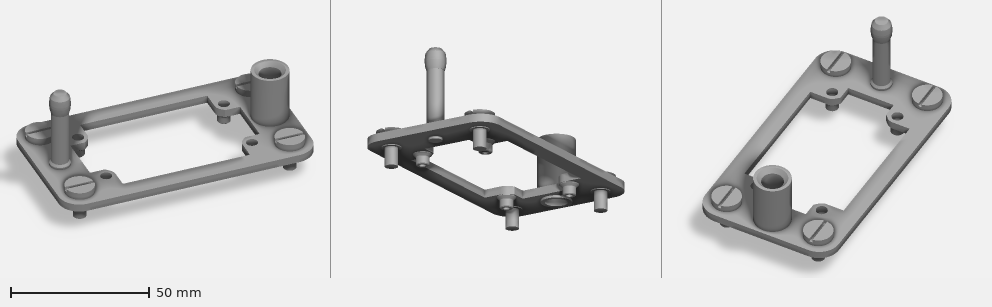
import cadquery as cq
import math

plate_length = 99.0
plate_width = 55.0
plate_thickness = 3.1
plate_corner_radius = 8.0

window_half_width = 20.5
window_half_length = 24.8
neck_half_width = 9.4
neck_half_length = 33.2

insert_x = 13.5
insert_y = 28.5
insert_radius = 2.5
insert_collar_radius = 3.5
insert_collar_height = 0.3
insert_drop = 4.4
insert_end_chamfer = 0.3
insert_hole_radius = 2.2
insert_throat_radius = 1.2
insert_throat_cone_height = 0.8

end_feature_y = 41.1
rivet_drop = 0.9

screw_x = 18.9
screw_head_radius = 5.5
screw_head_height = 2.8
screw_shank_radius = 2.5
screw_drop = 7.4
screw_collar_radius = 3.7
screw_collar_height = 0.3
screw_slot_width = 1.3
screw_slot_depth = 1.3

sleeve_radius = 7.0
sleeve_top = 23.1
sleeve_bore_radius = 4.2
sleeve_mouth_chamfer = 1.6
sleeve_rivet_radius = 5.7

pin_radius = 3.3
pin_head_radius = 4.0
pin_top = 34.1
pin_tip_radius = 2.4
pin_tip_height = 1.6
pin_bulge_radius = 9.1
pin_bulge_bottom = 25.7
pin_band_bottom = 29.1
pin_band_top = 30.0
pin_foot_radius = 4.0
pin_foot_top = 4.0
pin_foot_cone_top = 4.9
pin_rivet_radius = 2.6


def cylinder(radius, bottom, top):
    """Cylinder on the Z axis between two heights."""
    return cq.Workplane("XY").workplane(offset=bottom).circle(radius).extrude(top - bottom)


def at_four_corners(body, x, y):
    """Copies of a body at the four points (+-x, +-y)."""
    copies = cq.Workplane("XY")
    for sign_x in (-1, 1):
        for sign_y in (-1, 1):
            copies = copies.add(body.translate((sign_x * x, sign_y * y, 0)))
    return copies.combine()


def make_plate():
    """Rounded plate with a window that bends round the four insert lugs."""
    plate = (
        cq.Workplane("XY")
        .rect(plate_width, plate_length)
        .extrude(plate_thickness)
        .edges("|Z")
        .fillet(plate_corner_radius)
    )

    lug_radius = insert_y - window_half_length
    arc_mid = (
        insert_x - lug_radius * math.sin(math.radians(22.5)),
        insert_y - lug_radius * math.cos(math.radians(22.5)),
    )
    arc_end = (
        insert_x - lug_radius * math.sin(math.radians(45)),
        insert_y - lug_radius * math.cos(math.radians(45)),
    )
    neck_corner_y = arc_end[1] + arc_end[0] - neck_half_width
    quarter = (
        cq.Workplane("XY")
        .lineTo(window_half_width, 0)
        .lineTo(window_half_width, window_half_length)
        .lineTo(insert_x, window_half_length)
        .threePointArc(arc_mid, arc_end)
        .lineTo(neck_half_width, neck_corner_y)
        .lineTo(neck_half_width, neck_half_length)
        .lineTo(0, neck_half_length)
        .close()
        .extrude(plate_thickness)
    )
    half = quarter.union(quarter.mirror("YZ"))
    window = half.union(half.mirror("XZ"))
    return plate.cut(window)


def make_insert():
    """Insert body below the plate: a collar that tapers at 45 degrees to a chamfered barrel."""
    taper_bottom = insert_collar_height + insert_collar_radius - insert_radius
    return (
        cq.Workplane("XZ")
        .lineTo(insert_collar_radius, 0)
        .lineTo(insert_collar_radius, -insert_collar_height)
        .lineTo(insert_radius, -taper_bottom)
        .lineTo(insert_radius, insert_end_chamfer - insert_drop)
        .lineTo(insert_radius - insert_end_chamfer, -insert_drop)
        .lineTo(0, -insert_drop)
        .close()
        .revolve(360, (0, 0), (0, 1))
    )


def make_insert_hole():
    """Hole through plate and insert: wide in the plate, then a cone down to a narrow throat."""
    return (
        cq.Workplane("XZ")
        .moveTo(0, plate_thickness)
        .lineTo(insert_hole_radius, plate_thickness)
        .lineTo(insert_hole_radius, 0)
        .lineTo(insert_throat_radius, -insert_throat_cone_height)
        .lineTo(insert_throat_radius, -insert_drop)
        .lineTo(0, -insert_drop)
        .close()
        .revolve(360, (0, 0), (0, 1))
    )


def make_screw():
    """Slotted cheese-head screw standing through the plate, with a thin collar underneath."""
    head_top = plate_thickness + screw_head_height
    head = cylinder(screw_head_radius, plate_thickness, head_top)
    slot = (
        cq.Workplane("XY")
        .workplane(offset=head_top - screw_slot_depth)
        .rect(screw_slot_width, 2 * screw_head_radius)
        .extrude(screw_slot_depth)
    )
    shank = cylinder(screw_shank_radius, -screw_drop, plate_thickness)
    collar = cylinder(screw_collar_radius, -screw_collar_height, 0)
    return head.cut(slot).union(shank).union(collar)


def make_sleeve():
    """Guide sleeve with its riveted foot under the plate."""
    tube = cylinder(sleeve_radius, 0, sleeve_top)
    return tube.union(cylinder(sleeve_rivet_radius, -rivet_drop, 0))


def make_sleeve_bore():
    """Through bore of the sleeve with a 45 degree lead-in at the mouth."""
    mouth_radius = sleeve_bore_radius + sleeve_mouth_chamfer
    return (
        cq.Workplane("XZ")
        .moveTo(0, -rivet_drop)
        .lineTo(sleeve_bore_radius, -rivet_drop)
        .lineTo(sleeve_bore_radius, sleeve_top - sleeve_mouth_chamfer)
        .lineTo(mouth_radius, sleeve_top)
        .lineTo(0, sleeve_top)
        .close()
        .revolve(360, (0, 0), (0, 1))
    )


def bulge_radius_at(distance):
    """Pin head radius at a height distance beyond its cylindrical band."""
    sagitta = pin_bulge_radius - math.sqrt(pin_bulge_radius**2 - distance**2)
    return pin_head_radius - sagitta


def make_pin():
    """Guide pin: riveted end, tapered foot, plain shank and a barrel-shaped head."""
    lower_bulge = pin_band_bottom - pin_bulge_bottom
    bulge_top = pin_top - pin_tip_height
    upper_bulge = bulge_top - pin_band_top
    return (
        cq.Workplane("XZ")
        .moveTo(0, -rivet_drop)
        .lineTo(pin_rivet_radius, -rivet_drop)
        .lineTo(pin_rivet_radius, 0)
        .lineTo(pin_foot_radius, 0)
        .lineTo(pin_foot_radius, pin_foot_top)
        .lineTo(pin_radius, pin_foot_cone_top)
        .lineTo(pin_radius, pin_bulge_bottom)
        .lineTo(bulge_radius_at(lower_bulge), pin_bulge_bottom)
        .threePointArc(
            (bulge_radius_at(lower_bulge / 2), pin_band_bottom - lower_bulge / 2),
            (pin_head_radius, pin_band_bottom),
        )
        .lineTo(pin_head_radius, pin_band_top)
        .threePointArc(
            (bulge_radius_at(upper_bulge / 2), pin_band_top + upper_bulge / 2),
            (bulge_radius_at(upper_bulge), bulge_top),
        )
        .lineTo(pin_tip_radius, pin_top)
        .lineTo(0, pin_top)
        .close()
        .revolve(360, (0, 0), (0, 1))
    )


result = (
    make_plate()
    .union(at_four_corners(make_insert(), insert_x, insert_y))
    .union(at_four_corners(make_screw(), screw_x, end_feature_y))
    .union(make_sleeve().translate((0, end_feature_y, 0)))
    .union(make_pin().translate((0, -end_feature_y, 0)))
    .cut(at_four_corners(make_insert_hole(), insert_x, insert_y))
    .cut(make_sleeve_bore().translate((0, end_feature_y, 0)))
)